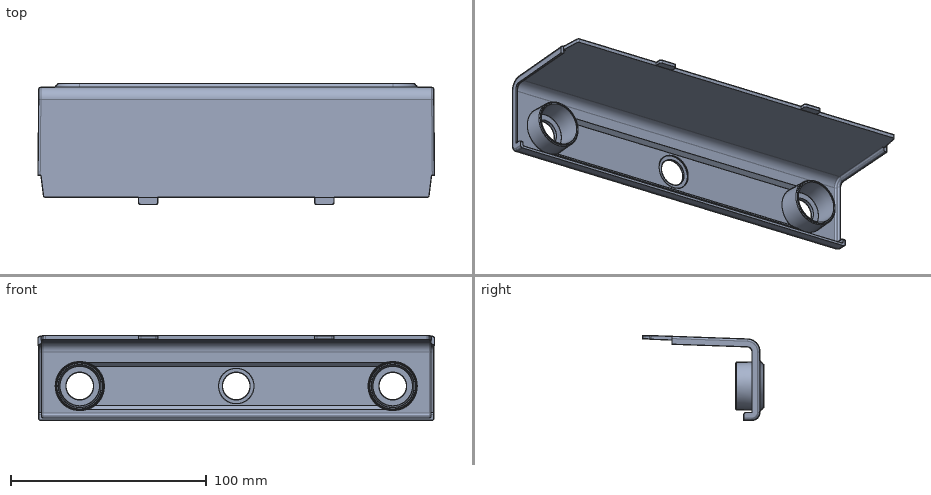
import math

import cadquery as cq


sheet = 2.0
rim_depth = 4.15
rim_inner_x = 99.6
rim_root_radius = 0.9
edge_radius = 1.2

half_length_wall = 101.0
overall_length = 202.81
half_length_front = overall_length / 2

bottom_z = -17.6
overall_height = 43.46
top_z = bottom_z + overall_height
flange_reach = 56.25
rim_reach = 45.0
flange_angle = 2.0
flange_slope = math.tan(math.radians(flange_angle))
bend_radius = 6.6
lip_reach = 8.3
lip_root_height = 2.6
lip_tip_height = 1.3
lip_bend_radius = 4.2
lip_root_radius = 1.5
rim_lip_tip_radius = 1.2

strip_back_half_width = 99.9
strip_front_half_width = 98.5
strip_corner_radius = 1.0

overall_depth = 62.0
tab_x = 45.0
tab_width = 10.0
tab_thickness = 1.7
tab_corner_radius = 1.2
tab_overlap = 1.0
tab_drop = 0.15

panel_height = 2.0
panel_base_radius = 12.9
panel_recess_radius = 12.0
panel_taper = 45.0

hole_pitch = 80.0
hole_diameter = 14.0
collar_base_radius = 12.6
collar_tip_radius = 12.2
collar_bore_tip_radius = 11.0
collar_bore_base_radius = 10.1
collar_tip_chamfer = 0.5
collar_reach = 12.4
center_recess_diameter = 18.1
center_recess_depth = 0.8

tab_reach = overall_depth - panel_height

match = 0.01


def flange_top(y):
    """Height of the sloping flange top at depth y (negative towards the front)."""
    return top_z - (flange_reach + y) * flange_slope


def extrude_x(points, x_start, x_end):
    """Extrude a closed Y-Z outline between two X positions."""
    return cq.Workplane("YZ", origin=(x_start, 0, 0)).polyline(points).close().extrude(x_end - x_start)


def round_along_x(body, y, z, radius):
    """Round the X-parallel edge of a body that lies at (y, z)."""
    middle_x = body.val().Center().x
    corner = cq.selectors.NearestToPointSelector((middle_x, y, z))
    return body.edges("|X").edges(corner).fillet(radius)


def make_band(thickness, lip_root, lip_tip, x_start, x_end):
    """Hooked side profile: lip, wall and flange, with rounded bends outside and under the flange."""
    inner_corner_z = flange_top(-thickness) - thickness
    points = [
        (-lip_reach, bottom_z),
        (0, bottom_z),
        (0, flange_top(0)),
        (-rim_reach, flange_top(-rim_reach)),
        (-rim_reach, flange_top(-rim_reach) - thickness),
        (-thickness, inner_corner_z),
        (-thickness, bottom_z + lip_root),
        (-lip_reach, bottom_z + lip_tip),
    ]
    band = extrude_x(points, x_start, x_end)
    band = round_along_x(band, 0, bottom_z, lip_bend_radius)
    band = round_along_x(band, 0, flange_top(0), bend_radius)
    return round_along_x(band, -thickness, inner_corner_z, bend_radius - thickness)


class RimRootSelector(cq.Selector):
    """Edges where the inner side of a rim meets the inner surface of the sheet."""

    def filter(self, objects):
        return [edge for edge in objects if self.is_root(edge)]

    @staticmethod
    def is_root(edge):
        box = edge.BoundingBox()
        middle = edge.positionAt(0.5)
        in_plane = box.xlen < match and abs(abs(middle.x) - rim_inner_x) < match
        if not in_plane:
            return False
        on_wall = abs(middle.y + sheet) < match
        on_flange = abs(middle.z - flange_top(middle.y) + sheet) < match
        on_bend = -bend_radius < middle.y < -sheet and middle.z > 0 and box.ylen < bend_radius
        return on_wall or on_flange or on_bend


class OuterEndEdgeSelector(cq.Selector):
    """Edges where the end faces meet the outer surface of the lip, wall and flange."""

    def filter(self, objects):
        return [edge for edge in objects if self.is_outer(edge)]

    @staticmethod
    def is_outer(edge):
        middle = edge.positionAt(0.5)
        if abs(middle.x) < half_length_wall - match or edge.BoundingBox().xlen > sheet:
            return False
        on_wall = abs(middle.y) < match
        on_flange = abs(middle.z - flange_top(middle.y)) < match
        on_bottom = abs(middle.z - bottom_z) < match
        in_top_bend = middle.y > -sheet and middle.z > flange_top(0) - bend_radius
        in_lip_bend = middle.y > -sheet and middle.z < bottom_z + sheet
        return on_wall or on_flange or on_bottom or in_top_bend or in_lip_bend


def make_shell():
    """Bent sheet with a deeper rim at each end, flared in plan and rounded on the outer edges."""
    body = make_band(sheet, lip_root_height, lip_tip_height, -half_length_front, half_length_front)
    body = round_along_x(body, -sheet, bottom_z + lip_root_height, lip_root_radius)

    rim = make_band(rim_depth, rim_depth, rim_depth, rim_inner_x, half_length_front)
    rim = round_along_x(rim, -lip_reach, bottom_z + rim_depth, rim_lip_tip_radius)
    body = body.union(rim).union(rim.mirror("YZ"))
    body = body.edges(RimRootSelector()).fillet(rim_root_radius)

    plan = [
        (-half_length_wall, 0),
        (half_length_wall, 0),
        (half_length_front, -rim_reach),
        (-half_length_front, -rim_reach),
    ]
    body = body.intersect(
        cq.Workplane("XY", origin=(0, 0, bottom_z)).polyline(plan).close().extrude(top_z - bottom_z)
    )
    return body.edges(OuterEndEdgeSelector()).fillet(edge_radius)


def make_sloped_plate(back_y, front_y, thickness, half_width):
    """Plate flush with the flange top between two depths."""
    points = [
        (back_y, flange_top(back_y)),
        (front_y, flange_top(front_y)),
        (front_y, flange_top(front_y) - thickness),
        (back_y, flange_top(back_y) - thickness),
    ]
    return extrude_x(points, -half_width, half_width)


def make_front_strip():
    """Tapered front strip of the flange, ahead of the rims."""
    plate = make_sloped_plate(-rim_reach, -flange_reach, sheet, strip_back_half_width)
    plan = [
        (-strip_back_half_width, -rim_reach),
        (strip_back_half_width, -rim_reach),
        (strip_front_half_width, -flange_reach),
        (-strip_front_half_width, -flange_reach),
    ]
    outline = cq.Workplane("XY").polyline(plan).close().extrude(2 * top_z)
    outline = outline.edges("|Z and <Y").fillet(strip_corner_radius)
    return plate.intersect(outline)


def make_tab():
    """Small tab with rounded front corners, at X = 0."""
    back_y = tab_overlap - flange_reach
    plate = make_sloped_plate(back_y, -tab_reach, tab_thickness, tab_width / 2)
    outline = (
        cq.Workplane("XY")
        .center(0, (back_y - tab_reach) / 2)
        .rect(tab_width, tab_reach + back_y)
        .extrude(2 * top_z)
        .edges("|Z and <Y")
        .fillet(tab_corner_radius)
    )
    return plate.intersect(outline).translate((0, 0, -tab_drop))


def make_panel(base_radius, base_y):
    """Raised panel shape: a long round-ended slab with sloping sides, rising towards +Y."""
    return (
        cq.Workplane("XZ", origin=(0, base_y, 0))
        .slot2D(2 * (hole_pitch + base_radius), 2 * base_radius)
        .extrude(-panel_height, taper=panel_taper)
    )


def cylinder_y(x, radius, back_y, front_y):
    """Cylinder along Y at position x on the hole line."""
    return cq.Workplane("XZ", origin=(x, back_y, 0)).circle(radius).extrude(back_y - front_y)


def revolve_y(points, x):
    """Revolve a closed X-Y half section about the Y-parallel axis at position x."""
    return cq.Workplane("XY").polyline(points).close().revolve(360, (0, 0), (0, 1)).translate((x, 0, 0))


def add_collar(body, x):
    """Slightly tapered tube around an end hole, open down to the floor of the panel recess."""
    tube = [
        (0, 0),
        (-collar_base_radius, 0),
        (-collar_tip_radius, collar_tip_chamfer - collar_reach),
        (collar_tip_chamfer - collar_tip_radius, -collar_reach),
        (0, -collar_reach),
    ]
    bore = [
        (0, 0),
        (-collar_bore_base_radius, 0),
        (-collar_bore_tip_radius, -collar_reach),
        (0, -collar_reach),
    ]
    return body.union(revolve_y(tube, x)).cut(revolve_y(bore, x))


result = make_shell().union(make_front_strip())
for side in (-1, 1):
    result = result.union(make_tab().translate((side * tab_x, 0, 0)))

result = result.union(make_panel(panel_base_radius, 0))
result = result.cut(make_panel(panel_recess_radius, -sheet))
for side in (-1, 1):
    result = add_collar(result, side * hole_pitch)

for x in (-hole_pitch, 0, hole_pitch):
    result = result.cut(cylinder_y(x, hole_diameter / 2, panel_height, -collar_reach))
result = result.cut(cylinder_y(0, center_recess_diameter / 2, center_recess_depth, 0))